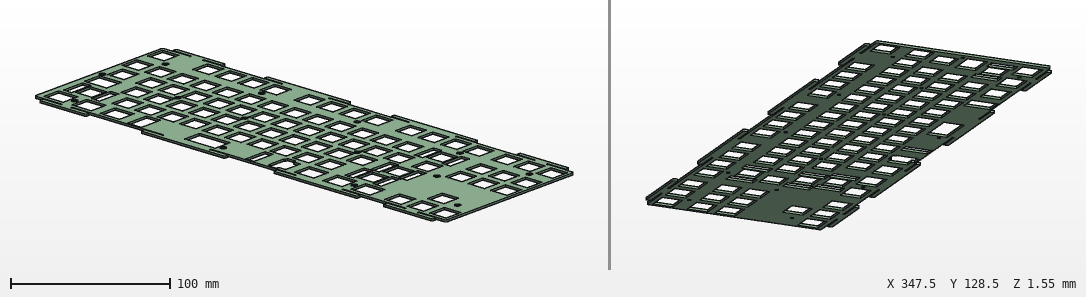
import cadquery as cq

length = 347.5
overall_width = 128.5
thickness = 1.55
tab_reach = 4.0
body_width = overall_width - 2 * tab_reach
body_corner_radius = 1.5

slot_width = 1.0
arm_length = 15.3
tab_corner_radius = 0.7
short_tab = 41.5
long_tab = 70.5
front_left_tab = 39.3
outer_tab_x = 145.3
rear_tabs = [
    (-outer_tab_x, short_tab),
    (-53.5, long_tab),
    (53.5, long_tab),
    (outer_tab_x, short_tab),
]
front_tabs = [
    (-146.5, front_left_tab),
    (-45.0, long_tab),
    (67.0, long_tab),
    (outer_tab_x, short_tab),
]

last_column = 17.25
pitch = 328.5 / last_column
function_row_gap = 1.25
rows_below_function_row = 4
grid_height = (function_row_gap + rows_below_function_row) * pitch
key_size = 14.0

stabilizer_width = 7.0
stabilizer_height = 18.0
stabilizer_offset = 11.8

screw_hole_diameter = 2.0
screw_recess_diameter = 4.0
screw_recess_depth = 0.7
rear_holes_y = 39.3
middle_holes_y = -2.5
front_holes_y = -49.7
screw_holes = (
    [(x, rear_holes_y) for x in (-152.5, -71.3, 9.5, 96.3, 155.0)]
    + [(x, middle_holes_y) for x in (-104.5, -48.0, 47.3, 114.5)]
    + [(x, front_holes_y) for x in (-149.0, 87.0)]
    + [(-169.3, -1.5), (-21.0, -53.0), (160.2, -34.0)]
)

function_row = function_row_gap + rows_below_function_row
number_row, upper_row, home_row, shift_row, bottom_row = 4, 3, 2, 1, 0


def run(first, count):
    """Columns of neighbouring keys, one pitch apart."""
    return [first + i for i in range(count)]


navigation = run(15.25, 3)

single_keys = {
    function_row: [0] + run(2, 4) + run(6.5, 4) + run(11, 4) + navigation,
    number_row: run(0, 13) + [13.5] + navigation,
    upper_row: [0.25] + run(1.5, 12) + [13.75] + navigation,
    home_row: run(1.75, 11) + [13.375],
    shift_row: [0.625] + run(2.25, 10) + [13.125, 16.25],
    bottom_row: [10.125] + navigation,
}

stretched_keys = {
    home_row: [(0.125, 0.375)],
    bottom_row: [
        (0.125, 0.25), (1.375, 1.5), (2.625, 2.75), (6.375, 7.0),
        (11.25, 11.375), (12.5, 12.625), (13.75, 13.875),
    ],
}

stabilized_keys = [(number_row, 13.5), (home_row, 13.375), (shift_row, 0.625), (shift_row, 13.125)]

space_bar_stabilizers = [(3.75, 4.0), (9.0, 9.0), (10.0, 10.0)]


def column_x(column):
    return (column - last_column / 2) * pitch


def row_y(row):
    return row * pitch - grid_height / 2


def window(x_first, x_last, y, width, height):
    """Through cutter for a window whose centre may sit anywhere from x_first to x_last."""
    total_width = x_last - x_first + width
    center = ((x_first + x_last) / 2, y, 0)
    return cq.Workplane("XY").box(total_width, height, 2 * thickness).translate(center)


def plate_body():
    body = cq.Workplane("XY").box(length, body_width, thickness)
    return body.edges("|Z").fillet(body_corner_radius)


def edge_tab(center_x, tab_length, side):
    """Tab on the rear (side = 1) or front (side = -1) edge: neck plus overhanging arms."""
    edge_y = body_width / 2
    arm_width = tab_reach - slot_width
    arms = (
        cq.Workplane("XY")
        .box(tab_length, arm_width, thickness)
        .edges("|Z and >Y").fillet(tab_corner_radius)
        .translate((0, edge_y + slot_width + arm_width / 2, 0))
    )
    neck = (
        cq.Workplane("XY")
        .box(tab_length - 2 * arm_length, 2 * tab_reach, thickness)
        .translate((0, edge_y, 0))
    )
    tab = arms.union(neck)
    if side < 0:
        tab = tab.mirror("XZ")
    return tab.translate((center_x, 0, 0))


def window_cutters():
    cutters = []
    for row, columns in single_keys.items():
        for column in columns:
            x = column_x(column)
            cutters.append(window(x, x, row_y(row), key_size, key_size))
    for row, spans in stretched_keys.items():
        for first, last in spans:
            cutters.append(window(column_x(first), column_x(last), row_y(row), key_size, key_size))
    for row, column in stabilized_keys:
        for side in (-1, 1):
            x = column_x(column) + side * stabilizer_offset
            cutters.append(window(x, x, row_y(row), stabilizer_width, stabilizer_height))
    for first, last in space_bar_stabilizers:
        y = row_y(bottom_row)
        cutters.append(window(column_x(first), column_x(last), y, stabilizer_width, stabilizer_height))
    return cutters


plate = plate_body()
for x, tab_length in rear_tabs:
    plate = plate.union(edge_tab(x, tab_length, 1))
for x, tab_length in front_tabs:
    plate = plate.union(edge_tab(x, tab_length, -1))

for cutter in window_cutters():
    plate = plate.cut(cutter)

result = (
    plate.faces(">Z")
    .workplane(origin=(0, 0, 0))
    .pushPoints(screw_holes)
    .cboreHole(screw_hole_diameter, screw_recess_diameter, screw_recess_depth)
)